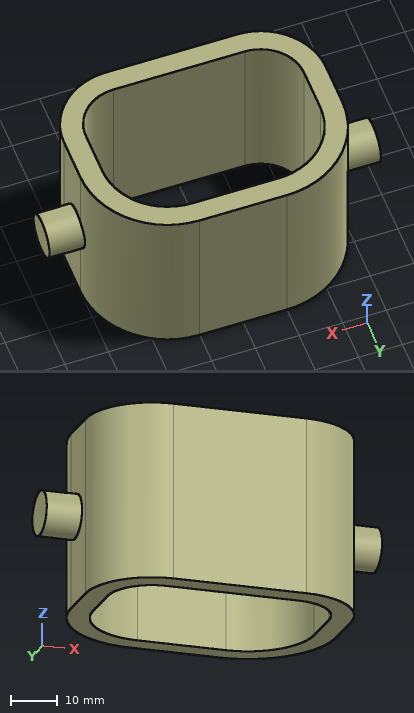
import cadquery as cq

overall_length = 76.0
body_length = 60.05
body_width = 45.0
body_height = 40.0
wall = 5.0
front_radius = 15.0
back_radius = 20.0
pin_diameter = 10.0


def rounded_block(length, width, front_corner, back_corner):
    """Block centred on the origin with different front and back corner radii."""
    block = cq.Workplane("XY").box(length, width, body_height)
    block = block.faces("<Y").edges("|Z").fillet(front_corner)
    return block.faces(">Y").edges("|Z").fillet(back_corner)


def pin(side):
    """Pin along X on one side (-1 or +1), rooted at the middle of the wall."""
    root = body_length / 2 - wall / 2
    pin_length = overall_length / 2 - root
    return (
        cq.Workplane("YZ", origin=(side * root, 0, 0))
        .circle(pin_diameter / 2)
        .extrude(side * pin_length)
    )


outer = rounded_block(body_length, body_width, front_radius, back_radius)
opening = rounded_block(
    body_length - 2 * wall,
    body_width - 2 * wall,
    front_radius - wall,
    back_radius - wall,
)
result = outer.cut(opening)

for side in (-1, 1):
    result = result.union(pin(side))